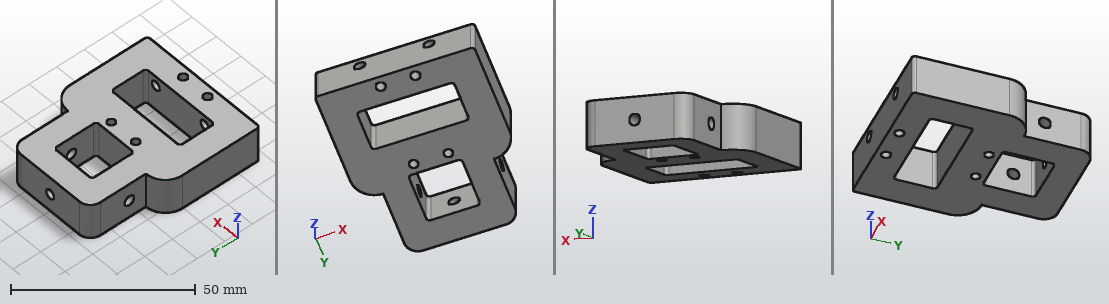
import cadquery as cq

thickness = 12.7
total_length = 55.5
body_width = 46.0
neck_width = 32.0
shoulder_y = 35.0
shoulder_radius = (body_width - neck_width) / 2
neck_corner_radius = 4.0
front_corner_radius = 1.0

window_corner_radius = 1.0
body_window_width = 28.0
body_window_length = 12.5
body_window_front_y = 8.5
neck_window_width = 15.4
neck_window_length = 15.2
neck_window_front_y = 32.0

screw_spacing = 10.0
front_screw_y = 3.0
front_screw_diameter = 2.7
rear_screw_y = 29.0
rear_screw_diameter = 2.53

front_wall_hole_diameter = 3.2
front_wall_hole_spacing = 20.0
front_wall_hole_below_top = 3.5

cross_hole_diameter = 3.4
cross_hole_y = 41.0
rear_wall_hole_diameter = 3.2


def make_plate():
    """Outline with convex shoulders that meet the neck sides, extruded up from Z = 0."""
    half_body = body_width / 2
    half_neck = neck_width / 2
    shoulder_start_y = shoulder_y - shoulder_radius
    plate = (
        cq.Workplane("XY")
        .moveTo(-half_body, 0)
        .lineTo(half_body, 0)
        .lineTo(half_body, shoulder_start_y)
        .radiusArc((half_neck, shoulder_y), -shoulder_radius)
        .lineTo(half_neck, total_length)
        .lineTo(-half_neck, total_length)
        .lineTo(-half_neck, shoulder_y)
        .radiusArc((-half_body, shoulder_start_y), -shoulder_radius)
        .close()
        .extrude(thickness)
    )
    plate = plate.faces("<Y").edges("|Z").fillet(front_corner_radius)
    return plate.faces(">Y").edges("|Z").fillet(neck_corner_radius)


def make_window(width, length, front_y):
    """Rectangular cutter with rounded vertical edges."""
    return (
        cq.Workplane("XY")
        .center(0, front_y + length / 2)
        .rect(width, length)
        .extrude(thickness)
        .edges("|Z")
        .fillet(window_corner_radius)
    )


def make_hole(start, direction, diameter, length):
    """Cylindrical cutter running from a start point along a direction."""
    return cq.Workplane(
        cq.Solid.makeCylinder(diameter / 2, length, cq.Vector(*start), cq.Vector(*direction))
    )


def cut_windows(part):
    """Body and neck windows, centred on X = 0."""
    part = part.cut(make_window(body_window_width, body_window_length, body_window_front_y))
    return part.cut(make_window(neck_window_width, neck_window_length, neck_window_front_y))


def cut_screw_pair(part, screw_y, diameter):
    """Two vertical screw holes through the thickness."""
    for side in (-1, 1):
        start = (side * screw_spacing / 2, screw_y, 0)
        part = part.cut(make_hole(start, (0, 0, 1), diameter, thickness))
    return part


def cut_front_wall_holes(part):
    """Two holes along Y from the front face into the body window."""
    hole_z = thickness - front_wall_hole_below_top
    hole_length = body_window_front_y + body_window_length / 2
    for side in (-1, 1):
        start = (side * front_wall_hole_spacing / 2, 0, hole_z)
        part = part.cut(make_hole(start, (0, 1, 0), front_wall_hole_diameter, hole_length))
    return part


def cut_neck_cross_hole(part):
    """Hole along X through both side walls of the neck."""
    start = (-neck_width / 2, cross_hole_y, thickness / 2)
    return part.cut(make_hole(start, (1, 0, 0), cross_hole_diameter, neck_width))


def cut_rear_wall_hole(part):
    """Hole along Y from the middle of the neck window out through the rear wall."""
    window_middle_y = neck_window_front_y + neck_window_length / 2
    start = (0, window_middle_y, thickness / 2)
    hole_length = total_length - window_middle_y
    return part.cut(make_hole(start, (0, 1, 0), rear_wall_hole_diameter, hole_length))


result = make_plate()
result = cut_windows(result)
result = cut_screw_pair(result, front_screw_y, front_screw_diameter)
result = cut_screw_pair(result, rear_screw_y, rear_screw_diameter)
result = cut_front_wall_holes(result)
result = cut_neck_cross_hole(result)
result = cut_rear_wall_hole(result)